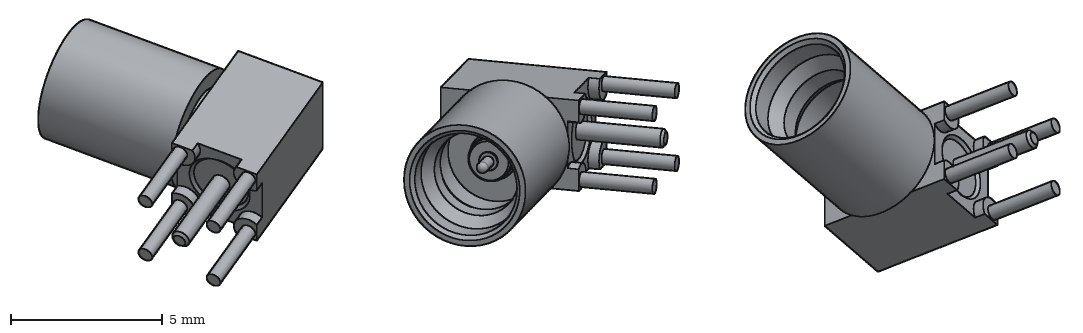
import cadquery as cq


total_length = 8.27
total_depth = 7.29

block_side = 3.15
block_back = 2.39
block_depth = 4.76
block_start = total_length - block_side
block_center_x = total_length - block_side / 2
foot_face = block_back - block_depth
leg_end = block_back - total_depth

shell_diameter = 4.2
shell_length = 4.94
neck_diameter = 2.89

mouth_diameter = 3.805
entry_diameter = 3.53
bore_diameter = 2.92
undercut_diameter = 3.17
mouth_chamfer = (mouth_diameter - entry_diameter) / 2
taper_start = 0.85
taper_end = 1.35
undercut_start = 2.02
undercut_taper = 0.23
bore_floor = 3.31

insulator_base_diameter = 1.605
insulator_base_length = 0.12
insulator_diameter = 1.46
insulator_length = 0.58
insulator_chamfer = 0.06
contact_collar_diameter = 0.64
contact_collar_length = 0.08
contact_diameter = 0.39
contact_length = 0.91

recess_depth = 0.38
recess_face = foot_face + recess_depth
standoff_diameter = 1.09
well_diameter = 2.25
well_floor_diameter = 2.03
well_depth = (well_diameter - well_floor_diameter) / 2

leg_pitch = 2.53
leg_diameter = 0.51
center_leg_diameter = 0.64
center_leg_chamfer = 0.1


def rod_x(diameter, start, end):
    """Cylinder on the socket axis between two X positions."""
    return cq.Workplane("YZ", origin=(start, 0, 0)).circle(diameter / 2).extrude(end - start)


def rod_y(diameter, x, z, start, end):
    """Cylinder along -Y, from Y = start down to Y = end."""
    return cq.Workplane("XZ", origin=(x, start, z)).circle(diameter / 2).extrude(start - end)


def make_socket():
    """Shell and neck with the stepped, tapered and undercut bore."""
    bore_profile = [
        (0, 0),
        (0, mouth_diameter / 2),
        (mouth_chamfer, entry_diameter / 2),
        (taper_start, entry_diameter / 2),
        (taper_end, bore_diameter / 2),
        (undercut_start, bore_diameter / 2),
        (undercut_start + undercut_taper, undercut_diameter / 2),
        (bore_floor, undercut_diameter / 2),
        (bore_floor, 0),
    ]
    bore = cq.Workplane("XY").polyline(bore_profile).close().revolve(360, (0, 0, 0), (1, 0, 0))
    shell = rod_x(shell_diameter, 0, shell_length)
    neck = rod_x(neck_diameter, shell_length, block_start)
    return shell.union(neck).cut(bore)


def make_contact():
    """Insulator standing on the bore floor, with the round-nosed contact in front of it."""
    base_front = bore_floor - insulator_base_length
    insulator_front = bore_floor - insulator_length
    base = rod_x(insulator_base_diameter, base_front, bore_floor)
    insulator = rod_x(insulator_diameter, insulator_front, base_front)
    insulator = insulator.faces("<X").chamfer(insulator_chamfer)
    collar = rod_x(contact_collar_diameter, insulator_front - contact_collar_length, insulator_front)
    nose_center = insulator_front - contact_length + contact_diameter / 2
    contact = rod_x(contact_diameter, nose_center, insulator_front)
    nose = cq.Workplane("XY", origin=(nose_center, 0, 0)).sphere(contact_diameter / 2)
    return base.union(insulator).union(collar).union(contact).union(nose)


def make_block(leg_places):
    """Square block with corner stand-offs trimmed to its sides, and the conical well."""
    envelope = cq.Workplane("XY").box(block_side, block_depth, block_side)
    envelope = envelope.translate((block_center_x, block_back - block_depth / 2, 0))
    recess = cq.Workplane("XY").box(block_side, recess_depth, block_side)
    recess = recess.translate((block_center_x, foot_face + recess_depth / 2, 0))
    for x, z in leg_places:
        recess = recess.cut(rod_y(standoff_diameter, x, z, recess_face, foot_face))
    well = (
        cq.Workplane("XZ", origin=(block_center_x, recess_face + well_depth, 0))
        .circle(well_floor_diameter / 2)
        .workplane(offset=well_depth)
        .circle(well_diameter / 2)
        .loft()
    )
    return envelope.cut(recess).cut(well)


def make_legs(leg_places):
    """Four corner legs and the chamfered center leg."""
    legs = rod_y(center_leg_diameter, block_center_x, 0, recess_face + well_depth, leg_end)
    legs = legs.faces("<Y").chamfer(center_leg_chamfer)
    for x, z in leg_places:
        legs = legs.union(rod_y(leg_diameter, x, z, foot_face, leg_end))
    return legs


leg_places = [
    (block_center_x + side_x * leg_pitch / 2, side_z * leg_pitch / 2)
    for side_x in (-1, 1)
    for side_z in (-1, 1)
]

result = make_socket().union(make_contact()).union(make_block(leg_places)).union(make_legs(leg_places))